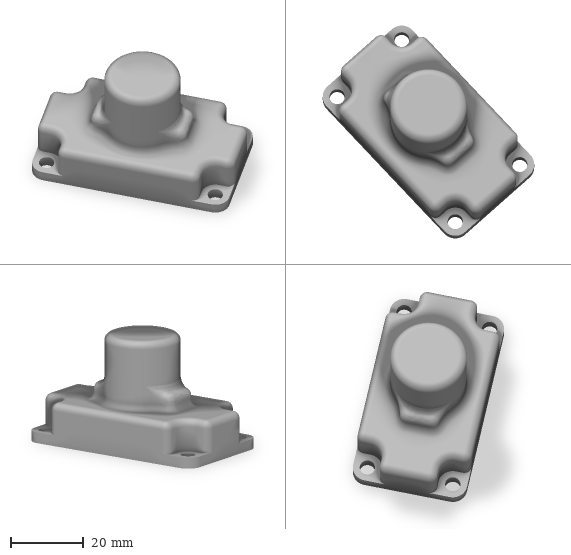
import cadquery as cq
import math

length = 56.0
width = 32.0
height = 31.5
plate_top = 3.0
parting_height = 6.0
deck_height = 12.0
blend_radius = 2.0

lug_radius = 4.0
notch_size = 2 * lug_radius
hole_diameter = 4.2

shaft_radius = 21.0 / 2
ear_reach = 13.5
ear_flat_half = 3.5
ear_corner_radius = blend_radius
waist_radius = 12.5
ear_top = 19.0
foot_wall = 0.05
foot_top = deck_height + blend_radius + foot_wall
ear_tip_trim = 0.01
margin = 0.55

ear_corner_x = ear_reach - ear_corner_radius
ear_corner_y = ear_flat_half
shaft_to_waist = shaft_radius + waist_radius
corner_to_waist = ear_corner_radius + waist_radius
shaft_to_corner = math.hypot(ear_corner_x, ear_corner_y)
waist_swing = math.acos(
    (shaft_to_waist**2 + shaft_to_corner**2 - corner_to_waist**2) / (2 * shaft_to_waist * shaft_to_corner)
)
shaft_angle = math.atan2(ear_corner_y, ear_corner_x) + waist_swing
waist_x = shaft_to_waist * math.cos(shaft_angle)
waist_y = shaft_to_waist * math.sin(shaft_angle)
corner_angle = math.atan2(waist_y - ear_corner_y, waist_x - ear_corner_x)


def on_circle(x, y, radius, angle):
    return (x + radius * math.cos(angle), y + radius * math.sin(angle))


def flip(point, side_x, side_y):
    """Mirror a point of the +X, +Y quarter into the quarter with the given signs."""
    return (side_x * point[0], side_y * point[1])


def notched_block(bottom, top):
    """Rectangular block with a rounded notch at each corner."""
    depth = top - bottom
    inner_length = length - 2 * notch_size
    inner_width = width - 2 * notch_size
    plane = cq.Workplane("XY").workplane(offset=bottom)
    long_bar = plane.rect(length, inner_width).extrude(depth).edges("|Z").fillet(blend_radius)
    cross_bar = plane.rect(inner_length, width).extrude(depth).edges("|Z").fillet(blend_radius)
    reach_x = inner_length / 2 + margin
    reach_y = inner_width / 2 + margin
    notch_corners = cq.selectors.BoxSelector((-reach_x, -reach_y, bottom), (reach_x, reach_y, top))
    return long_bar.union(cross_bar).edges("|Z").edges(notch_corners).fillet(lug_radius)


def foot_prism(bottom, top):
    """Prism of the shaft circle with two waisted ears."""
    flat_end = (ear_reach, ear_flat_half)
    corner_mid = on_circle(ear_corner_x, ear_corner_y, ear_corner_radius, corner_angle / 2)
    corner_end = on_circle(ear_corner_x, ear_corner_y, ear_corner_radius, corner_angle)
    waist_mid = on_circle(waist_x, waist_y, waist_radius, (shaft_angle + corner_angle) / 2 + math.pi)
    waist_end = on_circle(0, 0, shaft_radius, shaft_angle)

    outline = cq.Workplane("XY").workplane(offset=bottom).moveTo(*flip(flat_end, 1, -1))
    for side in (1, -1):
        outline = (
            outline.lineTo(*flip(flat_end, side, side))
            .threePointArc(flip(corner_mid, side, side), flip(corner_end, side, side))
            .threePointArc(flip(waist_mid, side, side), flip(waist_end, side, side))
            .threePointArc((0, side * shaft_radius), flip(waist_end, -side, side))
            .threePointArc(flip(waist_mid, -side, side), flip(corner_end, -side, side))
            .threePointArc(flip(corner_mid, -side, side), flip(flat_end, -side, side))
        )
    return outline.close().extrude(top - bottom)


def make_ear():
    """Ear on the +X side: a cove against the shaft that runs into a rounded outer rim."""
    tip_x = shaft_radius * math.cos(shaft_angle) + ear_tip_trim
    outer_side = cq.Workplane("XY").box(length, width, height, centered=(False, True, False))
    outer_side = outer_side.translate((tip_x, 0, 0))
    cove_ring = cq.Solid.makeTorus(shaft_radius + blend_radius, blend_radius, cq.Vector(0, 0, ear_top))
    ear = foot_prism(foot_top, ear_top).intersect(outer_side).cut(cq.Workplane(cove_ring))
    rim_box = cq.selectors.BoxSelector(
        (tip_x + margin, -shaft_radius, foot_top),
        (ear_reach + margin, shaft_radius, ear_top),
    )
    return ear.edges("%BSPLINE").edges(rim_box).fillet(blend_radius)


def make_base():
    """Plate with four screw lugs, carrying the lower part of the notched block."""
    plate = cq.Workplane("XY").rect(length, width).extrude(plate_top).edges("|Z").fillet(lug_radius)
    holes = cq.Workplane("XY").rect(length - 2 * lug_radius, width - 2 * lug_radius, forConstruction=True)
    holes = holes.vertices().circle(hole_diameter / 2).extrude(plate_top)
    return plate.cut(holes).union(notched_block(plate_top, parting_height))


def make_cover():
    """Upper part of the notched block with the shaft and its eared foot."""
    body = notched_block(parting_height, deck_height).faces(">Z").edges().fillet(blend_radius)

    body = body.union(foot_prism(deck_height, foot_top))
    foot_box = cq.selectors.BoxSelector(
        (-ear_reach - margin, -shaft_radius - margin, deck_height - foot_wall / 2),
        (ear_reach + margin, shaft_radius + margin, deck_height + foot_wall / 2),
    )
    body = body.edges(foot_box).fillet(blend_radius)

    shaft = cq.Workplane("XY").workplane(offset=deck_height).circle(shaft_radius).extrude(height - deck_height)
    body = body.union(shaft.faces(">Z").edges().fillet(blend_radius))

    ear = make_ear()
    return body.union(ear).union(ear.mirror("YZ"))


base = make_base()
cover = make_cover()
result = cq.Compound.makeCompound([base.solids().val(), cover.solids().val()])